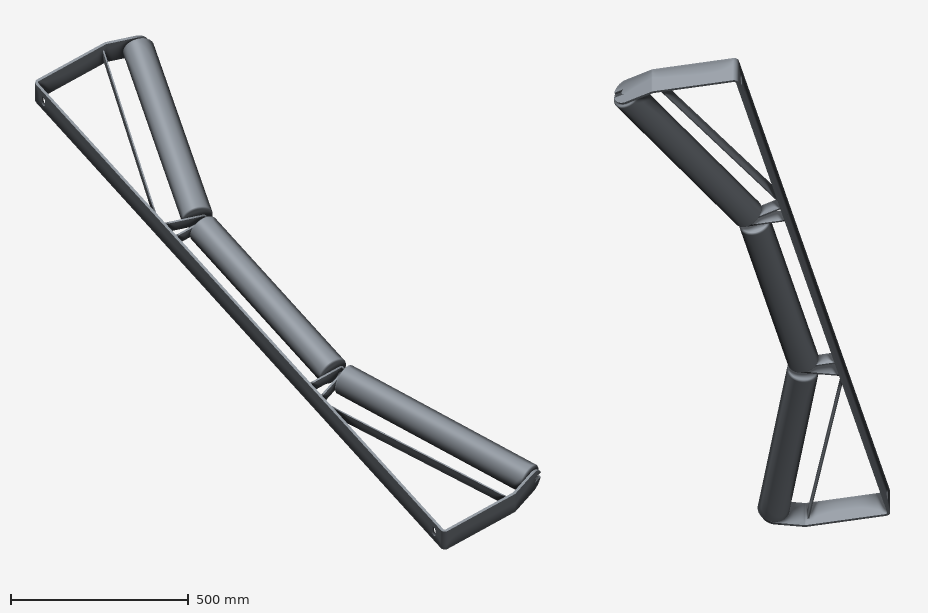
import cadquery as cq
import math

frame_length = 2000.0
frame_width = 80.0
frame_thickness = 8.0
frame_bend_radius = 5.0
plate_rise = 35.0

mount_slot_x = 952.0
mount_slot_width = 18.0
mount_slot_height = 35.0

tilt = 20.0
roller_diameter = 90.0
roller_length = 640.0
roller_rounding = 5.0
shaft_diameter = 18.0
middle_roller_y = 102.0
wing_top_y = 370.0
wing_face_x = 955.0
plate_gap = 5.0
bracket_gap = 5.0

bracket_width = 35.0
bracket_thickness = 5.0
bracket_bend_radius = 2.0
bracket_top_y = 128.0

brace_width = 35.0
brace_thickness = 5.0
brace_top_y = 238.0
brace_foot_x = 400.0

half_length = frame_length / 2
roller_radius = roller_diameter / 2
shaft_radius = shaft_diameter / 2
plate_reach = plate_gap + frame_thickness
bracket_reach = bracket_gap + bracket_thickness
tilt_cos = math.cos(math.radians(tilt))
tilt_sin = math.sin(math.radians(tilt))
vertical = cq.Vector(0, 0, 1)

outward = cq.Vector(-tilt_cos, tilt_sin)
upward = cq.Vector(tilt_sin, tilt_cos)
rounding_centre = upward * (roller_radius - roller_rounding) - outward * roller_rounding
wing_outer_face = cq.Vector(-wing_face_x, wing_top_y - roller_rounding - rounding_centre.y)
wing_inner_face = wing_outer_face - outward * roller_length

leftward = cq.Vector(-1, 0)
middle_left_face = cq.Vector(-roller_length / 2, middle_roller_y)


def mirrored(body):
    """Copy of a left-hand body on the right-hand side."""
    return body.mirror("YZ")


def point_at_x(start, direction, x):
    return start + direction * ((x - start.x) / direction.x)


def point_at_y(start, direction, y):
    return start + direction * ((y - start.y) / direction.y)


def right_hand_normal(start, end):
    run = (end - start).normalized()
    return cq.Vector(run.y, -run.x)


def bent_strip(outer, width, thickness, bend_radius):
    """Strip bent along the points of its outer face; its inner face lies to the right of that path."""
    normals = [right_hand_normal(a, b) for a, b in zip(outer, outer[1:])]
    inner = [outer[0] + normals[0] * thickness]
    for corner, before, after in zip(outer[1:-1], normals, normals[1:]):
        bisector = (before + after).normalized()
        inner.append(corner + bisector * (thickness / bisector.dot(before)))
    inner.append(outer[-1] + normals[-1] * thickness)

    profile = [(p.x, p.y) for p in outer + inner[::-1]]
    strip = cq.Workplane().polyline(profile).close().extrude(width / 2, both=True)
    for corners, radius in ((inner, bend_radius), (outer, bend_radius + thickness)):
        for p in corners[1:-1]:
            strip = strip.edges(cq.NearestToPointSelector((p.x, p.y, 0))).fillet(radius)
    return strip


def make_roller(face, axis, face_reach, far_reach):
    """Drum running back along the axis from one face, with a shaft that reaches past both faces."""
    plane = cq.Workplane(cq.Plane(face, xDir=vertical, normal=axis))
    drum = plane.circle(roller_radius).extrude(-roller_length).edges("%CIRCLE").fillet(roller_rounding)
    shaft = (
        plane.workplane(offset=face_reach)
        .circle(shaft_radius)
        .extrude(-face_reach - roller_length - far_reach)
    )
    return drum.union(shaft)


def shaft_slot(face, axis, up, reach):
    """Cutter for a round-bottomed slot, open upwards, from a roller face out to the given reach."""
    plane = cq.Workplane(cq.Plane(face, xDir=up, normal=axis))
    bottom = plane.circle(shaft_radius).extrude(reach)
    mouth = plane.center(roller_radius, 0).rect(roller_diameter, shaft_diameter).extrude(reach)
    return bottom.union(mouth)


def plate_tip_cutter():
    """Material outside the half-round tip of the left end plate."""
    tip_radius = frame_width / 2
    plane = cq.Workplane(cq.Plane(wing_outer_face, xDir=upward, normal=outward))
    plane = plane.center(plate_rise - tip_radius, 0)
    blank = plane.center(tip_radius / 2, 0).rect(tip_radius, frame_width).extrude(plate_reach)
    return blank.cut(plane.circle(tip_radius).extrude(plate_reach))


def make_frame():
    plate = wing_outer_face + outward * plate_reach
    left_side = [
        cq.Vector(-half_length, 0),
        point_at_x(plate, upward, -half_length),
        plate + upward * plate_rise,
    ]
    right_side = [cq.Vector(-p.x, p.y) for p in left_side]
    frame = bent_strip(right_side[::-1] + left_side, frame_width, frame_thickness, frame_bend_radius)

    for cutter in (plate_tip_cutter(), shaft_slot(wing_outer_face, outward, upward, plate_reach)):
        frame = frame.cut(cutter).cut(mirrored(cutter))

    mount_slots = (
        cq.Workplane("XZ")
        .pushPoints([(-mount_slot_x, 0), (mount_slot_x, 0)])
        .slot2D(mount_slot_height, mount_slot_width, 90)
        .extrude(-frame_thickness)
    )
    return frame.cut(mount_slots)


def make_bracket():
    """
    Left centre bracket: a slanted leg for the wing roller and an upright leg for the middle one,
    both cut level to stand on the base of the frame.
    """
    slanted = wing_inner_face - outward * bracket_gap
    upright_x = middle_left_face.x - bracket_gap
    path = [
        point_at_y(slanted, upward, 0),
        point_at_y(slanted, upward, bracket_top_y),
        cq.Vector(upright_x, bracket_top_y),
        cq.Vector(upright_x, 0),
    ]
    bracket = bent_strip(path, bracket_width, bracket_thickness, bracket_bend_radius)
    base = cq.Workplane().rect(frame_length, 2 * frame_thickness).extrude(bracket_width / 2, both=True)
    wing_slot = shaft_slot(wing_inner_face, -outward, upward, bracket_reach)
    middle_slot = shaft_slot(middle_left_face, leftward, cq.Vector(0, 1), bracket_reach)
    return bracket.cut(base).cut(wing_slot).cut(middle_slot)


def make_brace():
    """Left brace: a straight strip cut to fit the upright and the base of the frame."""
    top = cq.Vector(-half_length + frame_thickness, brace_top_y)
    foot = cq.Vector(-brace_foot_x, frame_thickness)
    run = foot - top
    lower = top - right_hand_normal(foot, top) * brace_thickness
    return (
        cq.Workplane()
        .polyline([(p.x, p.y) for p in (
            top,
            foot,
            point_at_y(lower, run, foot.y),
            point_at_x(lower, run, top.x),
        )])
        .close()
        .extrude(brace_width / 2, both=True)
    )


frame = make_frame()
middle_roller = make_roller(middle_left_face, leftward, bracket_reach, bracket_reach)
wing_roller = make_roller(wing_outer_face, outward, plate_reach, bracket_reach)

bodies = [frame, middle_roller]
for left_body in (wing_roller, make_bracket(), make_brace()):
    bodies += [left_body, mirrored(left_body)]

result = cq.Compound.makeCompound([body.val() for body in bodies])